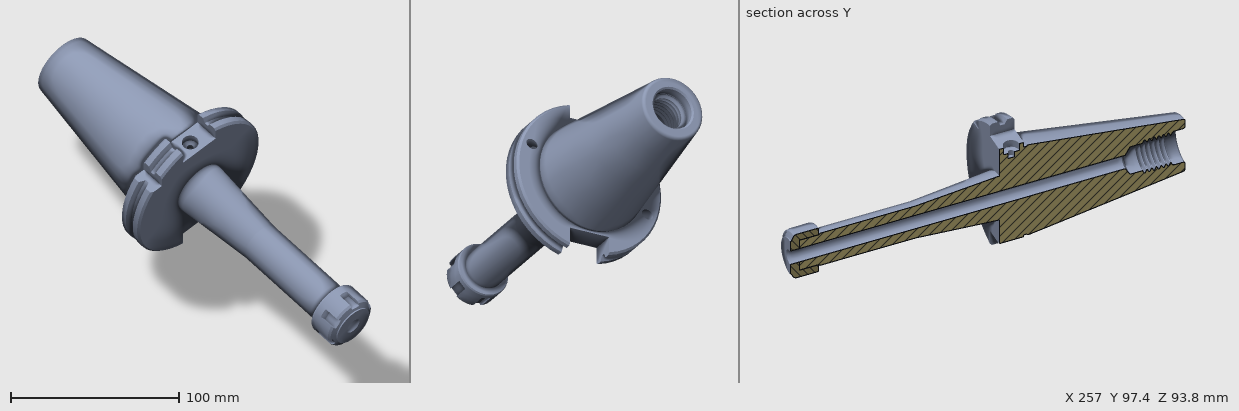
import cadquery as cq
import math

total_length = 257.0

taper_ratio = 7 / 24
taper_length = 101.8
gauge_radius = 35.0
small_end_radius = gauge_radius - taper_length * taper_ratio / 2
small_end_fillet = 2.0

gauge_land = 0.8
neck_radius = 34.2
neck_length = 3.3

flange_radius = 48.7
flange_width = 16.0
flange_chamfer = 1.3
flange_start = taper_length + neck_length
flange_end = flange_start + flange_width
groove_center = 112.8
groove_top_width = 6.2
groove_depth = 3.0
groove_half_angle = 30.0
groove_floor_width = groove_top_width - 2 * groove_depth * math.tan(math.radians(groove_half_angle))

drive_slot_width = 26.2
upper_slot_floor = 37.8
lower_slot_floor = 35.5
notch_offset = 30.0
chip_hole_radius = 5.0
chip_hole_depth = 5.1
chip_screw_hole_radius = 1.93
chip_screw_hole_depth = 3.9
coolant_hole_radius = 3.0
coolant_hole_circle = 41.4
coolant_hole_angle = 20.0
coolant_hole_tilt = 35.0
coolant_hole_depth = 6.5

shank_root_radius = 17.1
shank_root_length = 1.3
shank_radius = 12.5
shank_cone_end = 175.0
shank_end_chamfer = 0.8

nut_length = 18.8
nut_start = total_length - nut_length
nut_radius = 17.0
nut_back_chamfer_length = 1.0
nut_back_chamfer_depth = 0.5
nut_front_length = 3.9
nut_shoulder_length = 2.3
nut_shoulder_radius = 16.2
nut_face_radius = 12.8
nut_lip_length = 0.8
nut_slot_count = 6
nut_short_slot_count = 3
nut_slot_phase = -73.0
nut_slot_width = 6.0
nut_slot_start = 5.7
nut_long_slot_start = 4.0
nut_slot_run_out = 2.3
nut_slot_floor_radius = 14.5

nose_radius = shank_radius - shank_end_chamfer
nose_length = 12.8

through_radius = 5.0
mouth_radius = 12.8
mouth_chamfer = 1.0
mouth_depth = 7.7
thread_crest_radius = 10.4
thread_root_radius = 12.5
thread_pitch = 3.0
thread_root_flat = 0.5
thread_crest_flat = 0.5
thread_turns = 7
core_depth = 36.0
drill_point_length = 3.0


def revolve_about_x(points):
    """Solid of revolution of an (x, radius) outline about the X axis."""
    outline = cq.Workplane("XZ").polyline(points).close()
    return outline.revolve(360, (0, 0, 0), (1, 0, 0))


def block(x_range, y_range, z_range):
    """Axis-aligned box between the given limits."""
    size = [high - low for low, high in (x_range, y_range, z_range)]
    corner = (x_range[0], y_range[0], z_range[0])
    return cq.Workplane(cq.Solid.makeBox(*size, cq.Vector(*corner)))


def holder_blank():
    """Taper, neck, flange, shank and nose, without cut-outs."""
    drop = gauge_radius - neck_radius
    land_end = taper_length + gauge_land
    taper = revolve_about_x([
        (0, 0),
        (0, small_end_radius),
        (taper_length, gauge_radius),
        (land_end, gauge_radius),
        (land_end + drop, neck_radius),
        (flange_start, neck_radius),
        (flange_start, 0),
    ]).faces("<X").edges().fillet(small_end_fillet)

    flange = cq.Workplane("YZ").workplane(offset=flange_start)
    flange = flange.circle(flange_radius).extrude(flange_width).edges().chamfer(flange_chamfer)

    shank = revolve_about_x([
        (flange_end, 0),
        (flange_end, shank_root_radius),
        (flange_end + shank_root_length, shank_root_radius),
        (shank_cone_end, shank_radius),
        (nut_start - shank_end_chamfer, shank_radius),
        (nut_start, nose_radius),
        (nut_start + nose_length, nose_radius),
        (nut_start + nose_length, 0),
    ])
    return taper.union(flange).union(shank)


def gripper_groove():
    """V-shaped ring with a flat floor around the flange."""
    floor_radius = flange_radius - groove_depth
    return revolve_about_x([
        (groove_center - groove_floor_width / 2, floor_radius),
        (groove_center - groove_top_width / 2, flange_radius),
        (groove_center + groove_top_width / 2, flange_radius),
        (groove_center + groove_floor_width / 2, floor_radius),
    ])


def flange_cutouts():
    """Two drive slots of unequal depth and the corner notch."""
    across = (flange_start, flange_end)
    slot = (-drive_slot_width / 2, drive_slot_width / 2)
    return [
        block(across, slot, (upper_slot_floor, flange_radius)),
        block(across, slot, (-flange_radius, -lower_slot_floor)),
        block(across, (-flange_radius, -notch_offset), (notch_offset, flange_radius)),
    ]


def chip_hole():
    """Stepped blind hole in the floor of the upper drive slot."""
    center = ((flange_start + flange_end) / 2, 0, upper_slot_floor)
    plane = cq.Workplane("XY", origin=center)
    recess = plane.circle(chip_hole_radius).extrude(-chip_hole_depth)
    screw_hole = plane.circle(chip_screw_hole_radius)
    return recess.union(screw_hole.extrude(-chip_hole_depth - chip_screw_hole_depth))


def coolant_hole(angle):
    """Blind hole in the rear flange face, tilted toward the axis."""
    tilt = math.radians(coolant_hole_tilt)
    direction = cq.Vector(math.cos(tilt), -math.sin(tilt), 0)
    entry = cq.Vector(flange_start, coolant_hole_circle, 0)
    lead = coolant_hole_radius
    hole = cq.Solid.makeCylinder(
        coolant_hole_radius, coolant_hole_depth + lead, entry - direction * lead, direction
    )
    cutter = cq.Workplane(hole).intersect(
        block((flange_start, flange_end), (0, flange_radius), (-flange_radius, flange_radius))
    )
    return cutter.rotate((0, 0, 0), (1, 0, 0), angle)


def thread_groove(index):
    """Outline of one trapezoidal ring groove of the drawbar thread."""
    start = mouth_depth + index * thread_pitch
    flank = (thread_pitch - thread_root_flat - thread_crest_flat) / 2
    return [
        (start, thread_root_radius),
        (start + thread_root_flat, thread_root_radius),
        (start + thread_root_flat + flank, thread_crest_radius),
        (start + thread_root_flat + flank + thread_crest_flat, thread_crest_radius),
    ]


def holder_bore():
    """Drawbar mouth, ring-grooved thread, drill point and the through hole."""
    outline = [
        (0, 0),
        (0, mouth_radius + mouth_chamfer),
        (mouth_chamfer, mouth_radius),
        (mouth_depth, mouth_radius),
    ]
    for index in range(thread_turns):
        outline += thread_groove(index)
    end = nut_start + nose_length
    outline += [
        (core_depth, thread_crest_radius),
        (core_depth + drill_point_length, through_radius),
        (end, through_radius),
        (end, 0),
    ]
    return revolve_about_x(outline)


def make_holder():
    body = holder_blank().cut(gripper_groove())
    for cutout in flange_cutouts():
        body = body.cut(cutout)
    body = body.cut(chip_hole())
    for angle in (coolant_hole_angle, coolant_hole_angle + 180):
        body = body.cut(coolant_hole(angle))
    return body.cut(holder_bore())


def nut_slot(angle, slot_start):
    """Open-ended spanner slot with a sloping inner end."""
    start = nut_start + slot_start
    slot = cq.Workplane("XZ").polyline([
        (start, nut_radius),
        (start + nut_slot_run_out, nut_slot_floor_radius),
        (total_length, nut_slot_floor_radius),
        (total_length, nut_radius),
    ]).close().extrude(nut_slot_width / 2, both=True)
    return slot.rotate((0, 0, 0), (1, 0, 0), angle)


def make_nut():
    nose_end = nut_start + nose_length
    nut = revolve_about_x([
        (nut_start, nose_radius),
        (nut_start, nut_radius - nut_back_chamfer_depth),
        (nut_start + nut_back_chamfer_length, nut_radius),
        (total_length - nut_front_length, nut_radius),
        (total_length - nut_shoulder_length, nut_shoulder_radius),
        (total_length - nut_lip_length, nut_face_radius),
        (total_length, nut_face_radius),
        (total_length, through_radius),
        (nose_end, through_radius),
        (nose_end, nose_radius),
    ])
    for index in range(nut_slot_count):
        slot_start = nut_slot_start if index < nut_short_slot_count else nut_long_slot_start
        nut = nut.cut(nut_slot(nut_slot_phase + index * 360 / nut_slot_count, slot_start))
    return nut


holder = make_holder()
nut = make_nut()
result = cq.Compound.makeCompound([holder.val(), nut.val()])